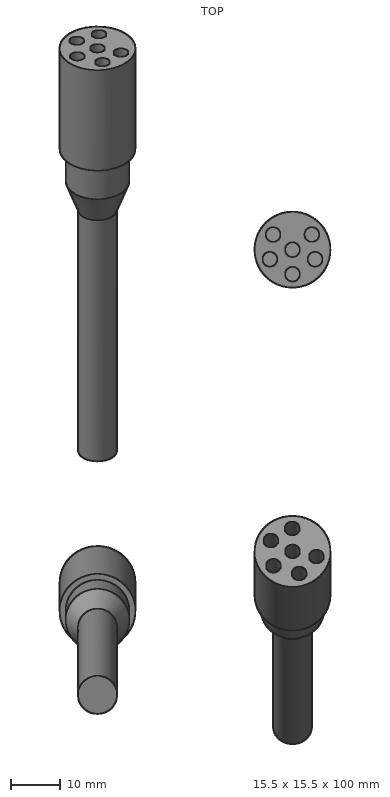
import cadquery as cq
import math

stem_diameter = 8.0
stem_length = 60.0
taper_length = 7.0
collar_diameter = 13.0
collar_length = 8.0
head_diameter = 15.5
head_length = 25.0

contact_diameter = 3.0
contact_depth = 10.0
contact_circle_radius = 5.0
contact_angles = (38, 142, 203, 270, 337)

taper_bottom_z = stem_length
taper_top_z = taper_bottom_z + taper_length
head_bottom_z = taper_top_z + collar_length
top_z = head_bottom_z + head_length


def make_body():
    """Revolve the stepped half profile about the Z axis."""
    half_profile = [
        (0, 0),
        (stem_diameter / 2, 0),
        (stem_diameter / 2, taper_bottom_z),
        (collar_diameter / 2, taper_top_z),
        (collar_diameter / 2, head_bottom_z),
        (head_diameter / 2, head_bottom_z),
        (head_diameter / 2, top_z),
        (0, top_z),
    ]
    return cq.Workplane("XZ").polyline(half_profile).close().revolve(360, (0, 0, 0), (0, 1, 0))


def make_contact_holes():
    """Cylinders that sink the contact holes down from the top face."""
    centers = [(0, 0)]
    for angle in contact_angles:
        x = contact_circle_radius * math.cos(math.radians(angle))
        y = contact_circle_radius * math.sin(math.radians(angle))
        centers.append((x, y))
    top_face = cq.Workplane("XY", origin=(0, 0, top_z))
    return top_face.pushPoints(centers).circle(contact_diameter / 2).extrude(-contact_depth)


result = make_body().cut(make_contact_holes())